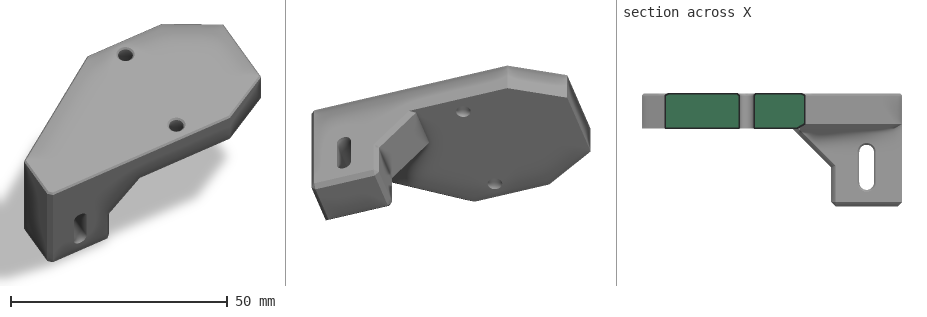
import cadquery as cq
import math

width = 32.0
length = 60.0
plate_thickness = 8.0
nose_inset = 7.07
nose_run = nose_inset * math.tan(math.radians(60))
taper_start_y = 28.0

total_height = 26.0
leg_width = 12.0
leg_depth = 16.35
leg_x = width - leg_width
plate_bottom_z = total_height - plate_thickness
gusset_size = 9.0

top_chamfer = 0.4
body_chamfer = 1.0
hole_chamfer = 0.4

hole_diameter = 3.4
hole_inset = 4.0
hole_y = 35.85

slot_width = 3.4
slot_travel = 7.0
slot_y = leg_depth / 2
slot_z = 9.0

TOUCH = 0.01


def edges_in_box(body, low, high):
    """Edges whose centres lie inside the box, grown by the touch tolerance."""
    grown_low = [value - TOUCH for value in low]
    grown_high = [value + TOUCH for value in high]
    return body.edges(cq.selectors.BoxSelector(grown_low, grown_high))


def make_plate():
    """Flat plate with a tapered +Y nose and a slanted side with a chamfered lower edge."""
    plate = (
        cq.Workplane("XY", origin=(0, 0, plate_bottom_z))
        .moveTo(leg_x, 0)
        .lineTo(width, 0)
        .lineTo(width, length - nose_run)
        .lineTo(width - nose_inset, length)
        .lineTo(nose_inset, length)
        .lineTo(0, length - nose_run)
        .lineTo(0, taper_start_y)
        .close()
        .extrude(plate_thickness)
    )
    slant_middle = (leg_x / 2, taper_start_y / 2, plate_bottom_z)
    return edges_in_box(plate, slant_middle, slant_middle).chamfer(body_chamfer)


def make_leg():
    """Upright leg and 45 degree gusset, reaching up into the plate."""
    core_top_z = total_height - top_chamfer
    return (
        cq.Workplane("YZ", origin=(leg_x, 0, 0))
        .lineTo(leg_depth, 0)
        .lineTo(leg_depth, plate_bottom_z - gusset_size)
        .lineTo(leg_depth + gusset_size, plate_bottom_z)
        .lineTo(leg_depth + gusset_size, core_top_z)
        .lineTo(0, core_top_z)
        .close()
        .extrude(leg_width)
    )


def break_leg_edges(body):
    """Chamfer the bottom rim, the rear edges of the leg and gusset, and the front +X corner."""
    edges = edges_in_box(body, (leg_x, 0, 0), (width, leg_depth, 0))
    rear_low = (leg_x, leg_depth, 0)
    rear_high = (width, leg_depth + gusset_size, plate_bottom_z)
    edges = edges.add(edges_in_box(body, rear_low, rear_high).edges("#X"))
    edges = edges.add(edges_in_box(body, (width, 0, 0), (width, 0, total_height)).edges("|Z"))
    return edges.chamfer(body_chamfer)


def make_mounting_hole(x):
    """Cutter for one plate hole, chamfered at the top."""
    hole_radius = hole_diameter / 2
    shaft = (
        cq.Workplane("XY", origin=(x, hole_y, plate_bottom_z))
        .circle(hole_radius)
        .extrude(plate_thickness)
    )
    mouth = cq.Solid.makeCone(
        hole_radius,
        hole_radius + hole_chamfer,
        hole_chamfer,
        pnt=cq.Vector(x, hole_y, total_height - hole_chamfer),
    )
    return shaft.union(cq.Workplane(mouth))


def cut_slot(body):
    """Upright slot through the leg, chamfered where it opens on the -X face."""
    slot_length = slot_travel + slot_width
    slot = (
        cq.Workplane("YZ", origin=(leg_x, slot_y, slot_z))
        .slot2D(slot_length, slot_width, 90)
        .extrude(leg_width)
    )
    body = body.cut(slot)
    low = (leg_x, slot_y - slot_width / 2, slot_z - slot_length / 2)
    high = (leg_x, slot_y + slot_width / 2, slot_z + slot_length / 2)
    return edges_in_box(body, low, high).chamfer(hole_chamfer)


body = make_plate().union(make_leg()).clean()
body = break_leg_edges(body)
body = body.faces(">Z").edges().chamfer(top_chamfer)
for hole_x in (hole_inset, width - hole_inset):
    body = body.cut(make_mounting_hole(hole_x))
result = cut_slot(body)